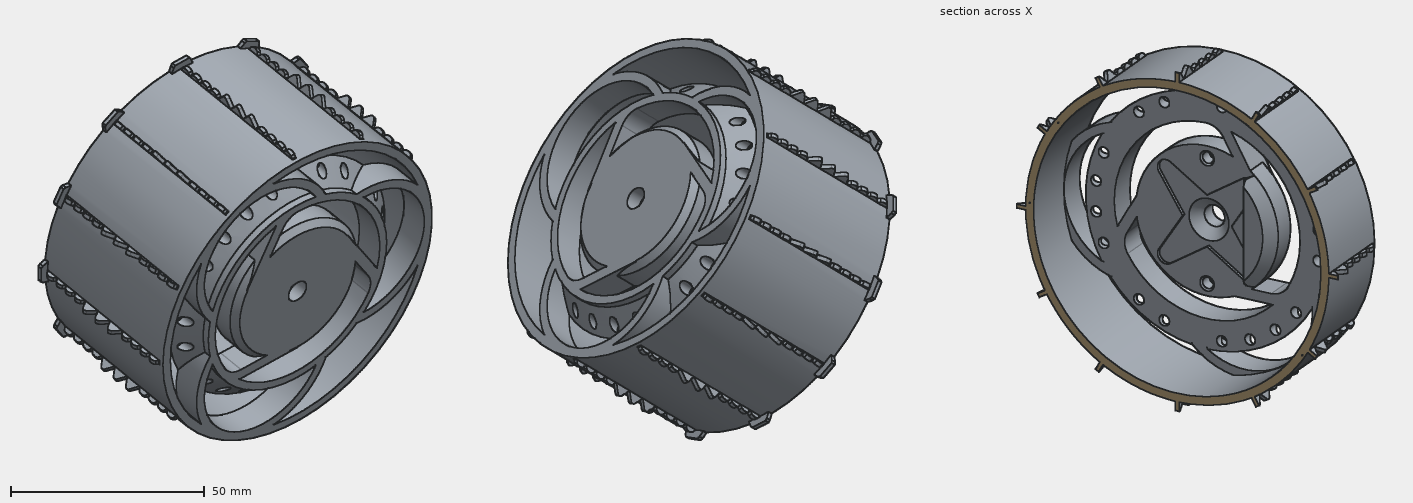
import cadquery as cq
import math


WHEEL_WIDTH = 48.0
RIM_RADIUS = 45.0
RIM_INNER_RADIUS = 42.5
RIM_MID_RADIUS = (RIM_RADIUS + RIM_INNER_RADIUS) / 2

WEB_FACE_X = 39.7
WEB_THICKNESS = WHEEL_WIDTH - WEB_FACE_X
RING_RADIUS = 29.8
RING_INNER_RADIUS = 27.5
RING_MID_RADIUS = (RING_RADIUS + RING_INNER_RADIUS) / 2
FLANGE_RADIUS = 36.0
FLANGE_THICKNESS = FLANGE_RADIUS - RING_RADIUS
SECTOR_COUNT = 3
SECTOR_ANGLE = 360 / SECTOR_COUNT

LOOP_RADIUS = 22.5
LOOP_INNER_RADIUS = 19.9
LOOP_CENTRE_DISTANCE = 22.5
FIRST_LOOP_ANGLE = 60

ARM_OUTER_OFFSET = 19.46
ARM_WIDTH = 3.05
ARM_INNER_OFFSET = ARM_OUTER_OFFSET - ARM_WIDTH
ARM_FILLET = 5.9

FLANGE_HOLE_RADIUS = 1.5
FLANGE_HOLE_CIRCLE_RADIUS = 33.2
FLANGE_HOLE_ANGLES = (7.5, 37.5, 52.5, 67.5, 82.5, 112.5)

HUB_RADIUS = 21.1
HUB_BACK_CHAMFER = 1.8
BORE_RADIUS = 3.0
BORE_SINK_RADIUS = 5.9
BORE_SINK_DEPTH = BORE_SINK_RADIUS - BORE_RADIUS

HORN_ARM_COUNT = 4
HORN_DEPTH = 1.0
HORN_NOTCH_DISTANCE = 7.25
HORN_TIP_DISTANCE = 17.2
HORN_TIP_RADIUS = 2.5

SCREW_OFFSET = 17.6
SCREW_RADIUS = 1.6
SCREW_SINK_RADIUS = 2.1
SCREW_SINK_DEPTH = SCREW_SINK_RADIUS - SCREW_RADIUS
SCREW_DEPTH = 4.0

BOSS_TOP_RADIUS = 18.15
BOSS_HEIGHT = HUB_RADIUS - BOSS_TOP_RADIUS
BOSS_CHORD_DISTANCE = 12.4
LEDGE_CHORD_DISTANCE = 11.75
LEDGE_HEIGHT = BOSS_HEIGHT / 2
BOSS_END_INNER = 14.6
BOSS_END_OUTER = 15.7
BOSS_END_RUN = 2.25

TREAD_ROW_COUNT = 12
TREAD_ROOT_RADIUS = 44.0
TOOTH_WIDTH = 1.2
BIG_TOOTH = (2.5, 0.7, 47.25, 47.58)
SMALL_TOOTH = (1.75, 1.25, 45.85, 46.3)
BIG_TOOTH_COUNT = 3
BIG_TOOTH_PITCH = 5.0
SMALL_TOOTH_COUNT = 4
SMALL_TOOTH_PITCH = 3.75
SMALL_TOOTH_START = 3.2
STRIP_RADIUS = 45.1
STRIP_END_X = 46.8
LUG_THICKNESS = 1.25
LUG_HALF_BASE = 3.45
LUG_HALF_SHOULDER = 2.85
LUG_HALF_TOP = 2.35
LUG_SHOULDER_RADIUS = 46.6
LUG_RADIUS = 47.2


def plane_at(x):
    """Sketch plane at x, local axes -Y and +Z; a negative extrusion runs toward +X."""
    return cq.Workplane(cq.Plane(origin=(x, 0, 0), xDir=(0, -1, 0), normal=(-1, 0, 0)))


def polar(radius, angle):
    """Sketch point at a radius and an angle in radians."""
    return (radius * math.cos(angle), radius * math.sin(angle))


def cone(x, length, start_radius, end_radius, z=0):
    """Cone running toward +X from x, its axis raised by z."""
    solid = cq.Solid.makeCone(start_radius, end_radius, length, cq.Vector(x, 0, z), cq.Vector(1, 0, 0))
    return cq.Workplane(solid)


def turned(body, angle):
    """Body turned about the wheel axis, in the sense of the sketch plane angles."""
    return body.rotate((0, 0, 0), (1, 0, 0), -angle)


def ring_of(body, count):
    """Union of equally spaced copies about the wheel axis."""
    joined = body
    for i in range(1, count):
        joined = joined.union(turned(body, i * 360 / count))
    return joined


def make_rim():
    return plane_at(0).circle(RIM_RADIUS).circle(RIM_INNER_RADIUS).extrude(-WHEEL_WIDTH)


def make_ring():
    flange = cone(WEB_FACE_X, FLANGE_THICKNESS, FLANGE_RADIUS, RING_RADIUS)
    ring = plane_at(WEB_FACE_X).circle(RING_RADIUS).extrude(-WEB_THICKNESS).union(flange)
    return ring.cut(plane_at(WEB_FACE_X).circle(RING_INNER_RADIUS).extrude(-WEB_THICKNESS))


def make_spokes():
    centre = polar(LOOP_CENTRE_DISTANCE, math.radians(FIRST_LOOP_ANGLE))
    sketch = plane_at(WEB_FACE_X).center(*centre).circle(LOOP_RADIUS).circle(LOOP_INNER_RADIUS)
    loops = ring_of(sketch.extrude(-WEB_THICKNESS), SECTOR_COUNT)
    gap = plane_at(WEB_FACE_X).circle(RIM_MID_RADIUS).circle(RING_MID_RADIUS).extrude(-WEB_THICKNESS)
    return loops.intersect(gap)


def make_arm():
    """Strip tangent to the hub; a fillet blends its inner edge into the ring."""
    fillet_z = ARM_FILLET - ARM_INNER_OFFSET
    fillet_reach = RING_INNER_RADIUS - ARM_FILLET
    fillet_x = math.sqrt(fillet_reach**2 - fillet_z**2)
    end_angle = math.atan2(fillet_z, fillet_x)
    fillet_dx, fillet_dz = polar(ARM_FILLET, (end_angle - math.pi / 2) / 2)
    outer_angle = -math.asin(ARM_OUTER_OFFSET / RING_MID_RADIUS)
    return (
        plane_at(WEB_FACE_X)
        .moveTo(0, -ARM_INNER_OFFSET)
        .lineTo(fillet_x, -ARM_INNER_OFFSET)
        .threePointArc((fillet_x + fillet_dx, fillet_z + fillet_dz), polar(RING_INNER_RADIUS, end_angle))
        .lineTo(*polar(RING_MID_RADIUS, end_angle))
        .threePointArc(
            polar(RING_MID_RADIUS, (end_angle + outer_angle) / 2),
            polar(RING_MID_RADIUS, outer_angle),
        )
        .lineTo(0, -ARM_OUTER_OFFSET)
        .close()
        .extrude(-WEB_THICKNESS)
    )


def make_hub():
    hub = plane_at(WEB_FACE_X).circle(HUB_RADIUS).extrude(-WEB_THICKNESS)
    return hub.faces(">X").chamfer(HUB_BACK_CHAMFER)


def make_horn_pocket():
    """Four tapered arms at 45 degrees; each edge runs from a notch to its tangent point on the tip."""
    tip = HORN_TIP_DISTANCE / math.sqrt(2)
    rise = tip - HORN_NOTCH_DISTANCE
    span = math.hypot(tip, rise)
    edge_angle = math.atan2(rise, tip) + math.asin(HORN_TIP_RADIUS / span)
    edge_x, edge_z = polar(math.sqrt(span**2 - HORN_TIP_RADIUS**2), edge_angle)
    tangent_x, tangent_z = edge_x, HORN_NOTCH_DISTANCE + edge_z
    arm = (
        plane_at(WEB_FACE_X)
        .lineTo(0, HORN_NOTCH_DISTANCE)
        .lineTo(tangent_x, tangent_z)
        .threePointArc(
            polar(HORN_TIP_DISTANCE + HORN_TIP_RADIUS, math.pi / 4),
            (tangent_z, tangent_x),
        )
        .lineTo(HORN_NOTCH_DISTANCE, 0)
        .close()
        .extrude(-HORN_DEPTH)
    )
    return ring_of(arm, HORN_ARM_COUNT)


def make_bore():
    bore = plane_at(WEB_FACE_X).circle(BORE_RADIUS).extrude(-WEB_THICKNESS)
    return bore.union(cone(WEB_FACE_X + HORN_DEPTH, BORE_SINK_DEPTH, BORE_SINK_RADIUS, BORE_RADIUS))


def make_screw_hole(z):
    """Blind hole with a countersunk mouth and a conical bottom."""
    hole = plane_at(WEB_FACE_X).center(0, z).circle(SCREW_RADIUS).extrude(-SCREW_DEPTH)
    mouth = cone(WEB_FACE_X, SCREW_SINK_DEPTH, SCREW_SINK_RADIUS, SCREW_RADIUS, z=z)
    bottom = cone(WEB_FACE_X + SCREW_DEPTH, SCREW_RADIUS, SCREW_RADIUS, 0, z=z)
    return hole.union(mouth).union(bottom)


def make_boss():
    """Truncated cone segment beyond a chord, standing on the web face."""
    flank = cone(WEB_FACE_X - BOSS_HEIGHT, BOSS_HEIGHT, BOSS_TOP_RADIUS, HUB_RADIUS)
    end_x = LEDGE_CHORD_DISTANCE + BOSS_END_RUN
    outline = [
        (LEDGE_CHORD_DISTANCE, BOSS_END_INNER),
        (end_x, BOSS_END_OUTER),
        (HUB_RADIUS, BOSS_END_OUTER),
        (HUB_RADIUS, -BOSS_END_OUTER),
        (end_x, -BOSS_END_OUTER),
        (LEDGE_CHORD_DISTANCE, -BOSS_END_INNER),
    ]
    segment = plane_at(WEB_FACE_X).polyline(outline).close().extrude(BOSS_HEIGHT)
    above_ledge = (
        plane_at(WEB_FACE_X - LEDGE_HEIGHT)
        .rect(2 * BOSS_CHORD_DISTANCE, 2 * HUB_RADIUS)
        .extrude(BOSS_HEIGHT)
    )
    return flank.intersect(segment).cut(above_ledge)


def make_flange_holes():
    points = []
    for sector in range(SECTOR_COUNT):
        for angle in FLANGE_HOLE_ANGLES:
            points.append(polar(FLANGE_HOLE_CIRCLE_RADIUS, math.radians(angle + sector * SECTOR_ANGLE)))
    return plane_at(WEB_FACE_X).pushPoints(points).circle(FLANGE_HOLE_RADIUS).extrude(-WEB_THICKNESS)


def make_tooth(x, size):
    """Tread tooth centred at x with sloped flanks and a domed crest."""
    half_base, half_crest, shoulder_radius, crest_radius = size
    return (
        cq.Workplane("XZ", origin=(x, TOOTH_WIDTH / 2, 0))
        .moveTo(-half_base, TREAD_ROOT_RADIUS)
        .lineTo(-half_base, RIM_RADIUS)
        .lineTo(-half_crest, shoulder_radius)
        .threePointArc((0, crest_radius), (half_crest, shoulder_radius))
        .lineTo(half_base, RIM_RADIUS)
        .lineTo(half_base, TREAD_ROOT_RADIUS)
        .close()
        .extrude(TOOTH_WIDTH)
    )


def make_lug():
    outline = [
        (-LUG_HALF_BASE, TREAD_ROOT_RADIUS),
        (-LUG_HALF_BASE, RIM_RADIUS),
        (-LUG_HALF_SHOULDER, LUG_SHOULDER_RADIUS),
        (-LUG_HALF_TOP, LUG_RADIUS),
        (LUG_HALF_TOP, LUG_RADIUS),
        (LUG_HALF_SHOULDER, LUG_SHOULDER_RADIUS),
        (LUG_HALF_BASE, RIM_RADIUS),
        (LUG_HALF_BASE, TREAD_ROOT_RADIUS),
    ]
    return plane_at(0).polyline(outline).close().extrude(-LUG_THICKNESS)


def make_tread_row():
    """Lug at the open edge, then a low strip carrying small, big and small teeth."""
    strip = cq.Workplane("XY").box(
        STRIP_END_X, TOOTH_WIDTH, STRIP_RADIUS - TREAD_ROOT_RADIUS, centered=(False, True, False)
    )
    row = make_lug().union(strip.translate((0, 0, TREAD_ROOT_RADIUS)))
    for i in range(BIG_TOOTH_COUNT):
        step = i - (BIG_TOOTH_COUNT - 1) / 2
        row = row.union(make_tooth(WHEEL_WIDTH / 2 + step * BIG_TOOTH_PITCH, BIG_TOOTH))
    for i in range(SMALL_TOOTH_COUNT):
        x = SMALL_TOOTH_START + i * SMALL_TOOTH_PITCH
        row = row.union(make_tooth(x, SMALL_TOOTH))
        row = row.union(make_tooth(WHEEL_WIDTH - x, SMALL_TOOTH))
    return row


def make_wheel():
    wheel = make_rim().union(make_spokes()).union(make_ring()).union(make_hub())
    wheel = wheel.union(ring_of(make_arm(), SECTOR_COUNT))
    wheel = wheel.cut(make_horn_pocket()).cut(make_bore()).union(make_boss())
    for z in (SCREW_OFFSET, -SCREW_OFFSET):
        wheel = wheel.cut(make_screw_hole(z))
    wheel = wheel.cut(make_flange_holes())
    tread_row = make_tread_row()
    for i in range(TREAD_ROW_COUNT):
        wheel = wheel.union(turned(tread_row, i * 360 / TREAD_ROW_COUNT))
    return wheel


result = make_wheel()